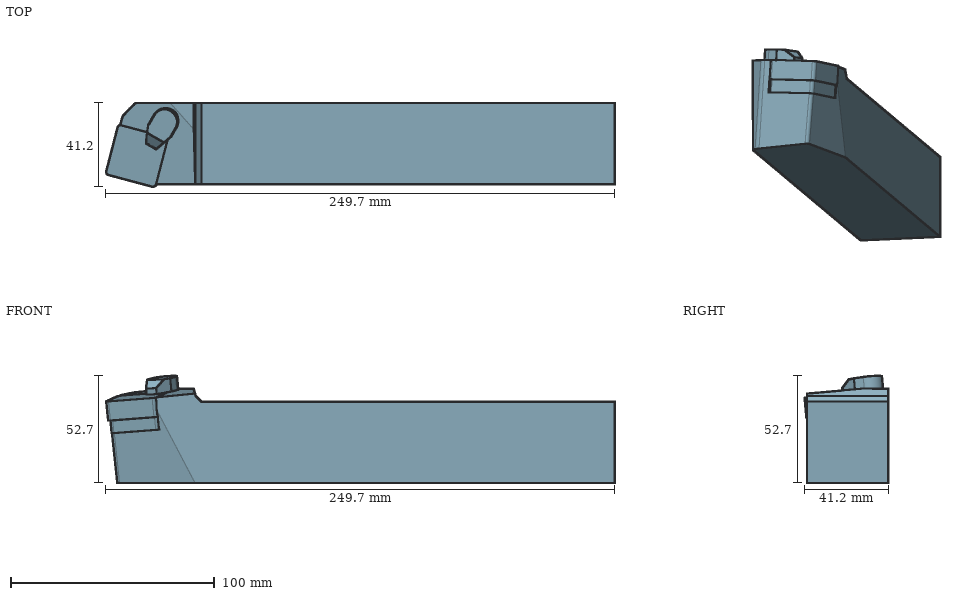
import cadquery as cq
import math

shank_width = 40.0
shank_height = 40.0
shank_end_x = 249.65

head_height = 46.4
head_rear_x = 43.0
rear_wall_lean = 1.0
rear_chamfer = 2.9
front_margin = 10.0

corner_x = -0.35
corner_y = 5.01
corner_z = 40.0
approach_angle = math.radians(15.0)
rake_along_front = math.radians(4.25)
rake_along_side = math.radians(6.5)

insert_side = 25.4
insert_thickness = 9.52
nose_radius = 1.6
shim_thickness = 6.35
shim_inset = 0.9

side_inset = 1.0
front_inset = 0.9
front_relief = math.radians(1.0)
relief_chamfer_angle = math.radians(60.0)
side_face_length = 30.0
side_blend_radius = 5.0
outline_reach = 300.0
outline_depth = 80.0

clamp_u = 22.2
clamp_v = 33.3
clamp_angle = 75.0
clamp_radius = 6.2
clamp_height = 6.58
clamp_straight = 5.3
clamp_ramp_start = 9.0
clamp_reach = 14.3
clamp_tip_width = 5.8
clamp_lip = 3.0


def seat_plane():
    """Insert top plane: u along the front edge, v along the side edge, rising away from the corner."""
    slope_front = math.tan(rake_along_front)
    slope_side = math.tan(rake_along_side)
    cos_a = math.cos(approach_angle)
    sin_a = math.sin(approach_angle)
    slope_x = slope_front * cos_a + slope_side * sin_a
    slope_y = slope_side * cos_a - slope_front * sin_a
    return cq.Plane(
        origin=(corner_x, corner_y, corner_z),
        xDir=(cos_a, -sin_a, slope_front),
        normal=(-slope_x, -slope_y, 1.0),
    )


seat = seat_plane()


def nearest_to(seat_point):
    return cq.selectors.NearestToPointSelector(seat.toWorldCoords(seat_point).toTuple())


def square_block(start, top, thickness):
    """Square plate on the seat, from start to the insert's inner sides, hanging down from top."""
    side = insert_side - start
    return (
        cq.Workplane(seat)
        .workplane(offset=top - thickness)
        .rect(side, side, centered=False)
        .extrude(thickness)
        .translate(seat.toWorldCoords((start, start, 0)) - seat.origin)
    )


def bar():
    """Square shank with the raised head; a leaning wall and a chamfer step down from head to shank."""
    wall_foot_x = head_rear_x + rear_wall_lean
    return (
        cq.Workplane("XZ")
        .moveTo(-front_margin, 0)
        .lineTo(shank_end_x, 0)
        .lineTo(shank_end_x, shank_height)
        .lineTo(wall_foot_x + rear_chamfer, shank_height)
        .lineTo(wall_foot_x, shank_height + rear_chamfer)
        .lineTo(head_rear_x, head_height)
        .lineTo(-front_margin, head_height)
        .close()
        .extrude(-shank_width)
    )


def head_prism():
    """Head outline swept down along the seat normal, its front face leaning back."""
    relief_shift = outline_depth * math.tan(front_relief)
    chamfer_top = (
        side_inset + outline_reach * math.cos(relief_chamfer_angle),
        side_face_length + outline_reach * math.sin(relief_chamfer_angle),
    )
    prism = (
        cq.Workplane(seat)
        .polyline([
            (side_inset, front_inset),
            (outline_reach, front_inset),
            (outline_reach, chamfer_top[1]),
            chamfer_top,
            (side_inset, side_face_length),
        ])
        .close()
        .extrude(-outline_depth)
    )
    front_plane = cq.Plane(
        origin=seat.toWorldCoords((0, front_inset, 0)).toTuple(), xDir=seat.yDir, normal=seat.xDir
    )
    relief_wedge = (
        cq.Workplane(front_plane)
        .polyline([(0, 0), (relief_shift, -outline_depth), (0, -outline_depth)])
        .close()
        .extrude(outline_reach)
    )
    prism = prism.cut(relief_wedge)
    nose_middle = (side_inset, front_inset + relief_shift / 2, -outline_depth / 2)
    blend_middle = (side_inset, side_face_length, -outline_depth / 2)
    prism = prism.edges(nearest_to(nose_middle)).fillet(nose_radius)
    return prism.edges(nearest_to(blend_middle)).fillet(side_blend_radius)


def clamp():
    """Clamp on the seat plane: round at the back, tapering to a tip with a ramp down to a low lip."""
    r = clamp_radius
    tip = clamp_tip_width / 2
    plane = cq.Plane(
        origin=seat.toWorldCoords((clamp_u, clamp_v, 0)).toTuple(), xDir=seat.xDir, normal=seat.zDir
    ).rotated((0, 0, clamp_angle))
    body = (
        cq.Workplane(plane)
        .moveTo(-clamp_straight, r)
        .lineTo(0, r)
        .threePointArc((r, 0), (0, -r))
        .lineTo(-clamp_straight, -r)
        .lineTo(-clamp_reach, -tip)
        .lineTo(-clamp_reach, tip)
        .close()
        .extrude(clamp_height)
    )
    ramp_plane = cq.Plane(origin=plane.origin, xDir=plane.xDir, normal=-plane.yDir)
    ramp = (
        cq.Workplane(ramp_plane)
        .polyline([
            (-clamp_reach, clamp_lip),
            (-clamp_ramp_start, clamp_height),
            (-clamp_reach, clamp_height),
        ])
        .close()
        .extrude(clamp_radius, both=True)
    )
    return body.cut(ramp)


normal_edges = cq.selectors.ParallelDirSelector(seat.zDir)
insert = square_block(0, 0, insert_thickness).edges(normal_edges).fillet(nose_radius)
shim_plate = square_block(shim_inset, -insert_thickness, shim_thickness)
shim = shim_plate.edges(normal_edges).fillet(nose_radius)
shim_pocket = square_block(0, -insert_thickness, shim_thickness)

holder = bar().intersect(head_prism()).cut(insert).cut(shim_pocket).union(shim).union(clamp())

result = cq.Compound.makeCompound([holder.val(), insert.val()])